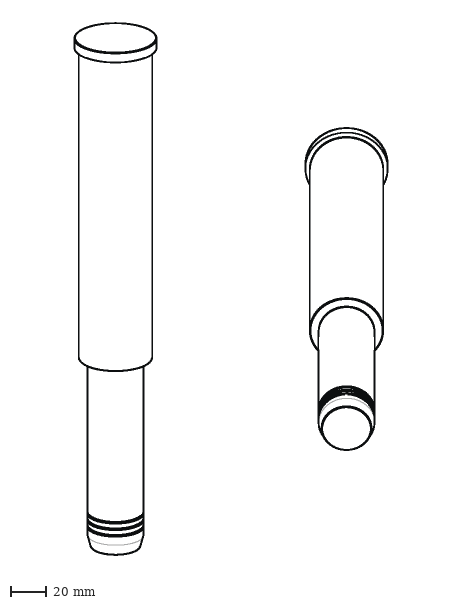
import cadquery as cq

total_length = 311.0
head_diameter = 47.0
head_height = 6.0
head_chamfer = 0.5
body_diameter = 42.0
body_length = 190.0
body_chamfer = 0.5
shank_diameter = 32.0

tip_height = 7.0
tip_diameter = 28.6
tip_chamfer = 0.5

groove_width = 1.0
groove_depth = 0.5
undercut_depth = 0.25
shank_groove_bottoms = (12.0, 16.0, 20.0)

head_radius = head_diameter / 2
body_radius = body_diameter / 2
shank_radius = shank_diameter / 2
tip_radius = tip_diameter / 2
head_bottom = total_length - head_height
body_bottom = head_bottom - body_length


def stepped_pin():
    """Head, body, shank and tapered tip revolved about Z."""
    profile = (
        cq.Workplane("XZ")
        .moveTo(0, 0)
        .lineTo(tip_radius - tip_chamfer, 0)
        .lineTo(tip_radius, tip_chamfer)
        .lineTo(shank_radius, tip_height)
        .lineTo(shank_radius, body_bottom)
        .lineTo(body_radius - body_chamfer, body_bottom)
        .lineTo(body_radius, body_bottom + body_chamfer)
        .lineTo(body_radius, head_bottom)
        .lineTo(head_radius, head_bottom)
        .lineTo(head_radius, total_length - head_chamfer)
        .lineTo(head_radius - head_chamfer, total_length)
        .lineTo(0, total_length)
        .close()
    )
    return profile.revolve(360, (0, 0, 0), (0, 1, 0))


def ring_groove(bottom, outer_radius, depth):
    """Ring of material to remove from a cylinder of the given radius."""
    return (
        cq.Workplane("XY")
        .workplane(offset=bottom)
        .circle(outer_radius)
        .circle(outer_radius - depth)
        .extrude(groove_width)
    )


result = stepped_pin()

result = result.cut(ring_groove(head_bottom - groove_width, body_radius, undercut_depth))
result = result.cut(ring_groove(body_bottom - groove_width, shank_radius, undercut_depth))

for groove_bottom in shank_groove_bottoms:
    result = result.cut(ring_groove(groove_bottom, shank_radius, groove_depth))